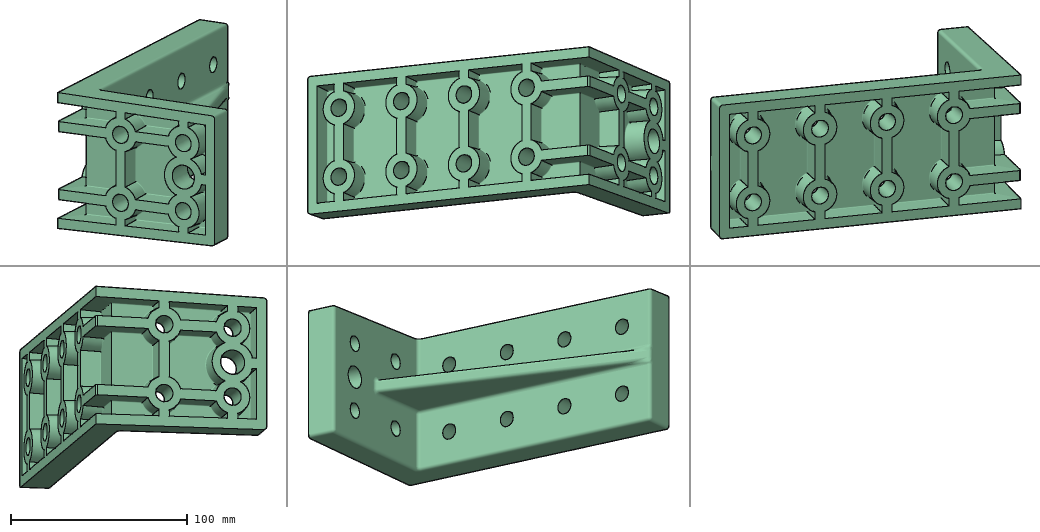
import math

import cadquery as cq

leg_a_length = 180.0
leg_b_length = 100.0
half_width = 40.0
thickness = 18.0
side_draft = 1.0
inner_draft = 0.3
edge_fillet = 2.0

wall = 6.0
pocket_depth = 12.0
pocket_draft = 2.5
floor_fillet = 0.5
rib_corner_chamfer = 1.0

pitch = 40.0
row_z = pitch / 2
rows = (-row_z, row_z)
leg_a_stations = [pitch * i for i in range(1, 5)]
leg_b_stations = [pitch * i for i in range(1, 3)]
pivot_x = leg_b_stations[-1]
boss_diameter = 20.0
hole_diameter = 10.0
pivot_boss_diameter = 24.0
pivot_hole_diameter = 14.0
hole_draft = 1.6

gusset_reach = 60.0
gusset_thickness = 8.0

side_slope = math.tan(math.radians(side_draft))
pocket_slope = math.tan(math.radians(pocket_draft))
inner_slope = math.tan(math.radians(inner_draft))
leg_b_root = thickness + inner_slope * (leg_b_length - thickness)
hole_length = leg_b_root + edge_fillet
tolerance = 0.01

face_a = cq.Plane(origin=(0, 0, 0), xDir=(0, 1, 0), normal=(1, 0, 0))
face_b = cq.Plane(origin=(0, 0, 0), xDir=(1, 0, 0), normal=(0, 1, 0))


def on_outer_face(edge):
    bounds = edge.BoundingBox()
    return min(bounds.xmax, bounds.ymax) < tolerance


def make_body():
    """L-shaped bracket with a central gusset and rounded inner and end edges."""
    outline = [
        (0, 0),
        (leg_b_length, 0),
        (leg_b_length, thickness),
        (thickness, leg_b_root),
        (thickness, leg_a_length),
        (0, leg_a_length),
    ]
    legs = cq.Workplane("XY").polyline(outline).close().extrude(half_width, both=True)

    tip_half = half_width - side_slope * leg_b_length
    side_outline = [
        (0, -half_width),
        (leg_b_length, -tip_half),
        (leg_b_length, tip_half),
        (0, half_width),
    ]
    envelope = cq.Workplane("XZ").polyline(side_outline).close().extrude(-leg_a_length)

    gusset_outline = [
        (0, leg_a_length),
        (thickness, leg_a_length),
        (gusset_reach, thickness),
        (gusset_reach, 0),
        (0, 0),
    ]
    gusset = cq.Workplane("XY").polyline(gusset_outline).close().extrude(gusset_thickness / 2, both=True)

    body = legs.intersect(envelope).union(gusset)
    rounded_edges = [edge for edge in body.edges().vals() if not on_outer_face(edge)]
    return body.newObject(rounded_edges).fillet(edge_fillet)


def hollow(face, length):
    """Space inside the rim of one leg, open at the outer corner of the bracket."""
    space = cq.Workplane(face)
    for depth in (0, pocket_depth):
        shrink = pocket_slope * depth
        end = length - wall - shrink
        start_half, end_half = [
            half_width - wall - shrink - side_slope * face.toWorldCoords((along, 0, depth)).x
            for along in (0, end)
        ]
        outline = [(0, -start_half), (end, -end_half), (end, end_half), (0, start_half)]
        space = space.workplane(offset=depth).polyline(outline).close()
    return space.loft(ruled=True)


def rib(face, x_range, z_range):
    """Rib covering a rectangle of the outer face, growing toward the floor."""
    (x_low, x_high), (z_low, z_high) = x_range, z_range
    return (
        cq.Workplane(face)
        .center((x_low + x_high) / 2, (z_low + z_high) / 2)
        .rect(x_high - x_low, z_high - z_low)
        .extrude(pocket_depth, taper=-pocket_draft)
    )


def around(middle):
    """Range of one rib thickness about a middle line."""
    return middle - wall / 2, middle + wall / 2


def boss(face, x, z, diameter):
    return cq.Workplane(face).center(x, z).circle(diameter / 2).extrude(pocket_depth, taper=-pocket_draft)


def hole(face, x, z, diameter):
    return cq.Workplane(face).center(x, z).circle(diameter / 2).extrude(hole_length, taper=hole_draft)


def leg_a_ribs():
    first_y = leg_a_stations[0]
    ribs = [rib(face_a, (-wall, first_y), around(z)) for z in rows]
    for y in leg_a_stations:
        ribs.append(rib(face_a, around(y), (-half_width, half_width)))
        ribs += [boss(face_a, y, z, boss_diameter) for z in rows]
    return ribs


def leg_b_ribs():
    first_x, last_x = leg_b_stations
    ribs = [rib(face_b, (-wall, last_x), around(z)) for z in rows]
    for x in leg_b_stations:
        ribs += [boss(face_b, x, z, boss_diameter) for z in rows]
    ribs.append(rib(face_b, around(first_x), (-half_width, half_width)))
    ribs.append(rib(face_b, around(last_x), (row_z, half_width)))
    ribs.append(rib(face_b, around(last_x), (-half_width, -row_z)))
    ribs.append(boss(face_b, pivot_x, 0, pivot_boss_diameter))
    ribs.append(rib(face_b, (pivot_x, leg_b_length), around(0)))
    return ribs


def pocket(face, space, ribs):
    """Hollow space of one leg around its ribs, with rounded floor edges."""
    for part in ribs:
        space = space.cut(part)
    floor_edges = []
    for edge in space.edges().vals():
        ends = [face.toLocalCoords(vertex.Center()) for vertex in edge.Vertices()]
        on_floor = min(end.z for end in ends) > pocket_depth - tolerance
        at_outer_corner = max(end.x for end in ends) < tolerance
        if on_floor and not at_outer_corner:
            floor_edges.append(edge)
    return space.newObject(floor_edges).fillet(floor_fillet)


def make_pockets():
    pocket_a = pocket(face_a, hollow(face_a, leg_a_length), leg_a_ribs())
    pocket_b = pocket(face_b, hollow(face_b, leg_b_length), leg_b_ribs())
    return pocket_a.union(pocket_b)


def make_holes():
    holes = hole(face_b, pivot_x, 0, pivot_hole_diameter)
    for z in rows:
        for y in leg_a_stations:
            holes = holes.union(hole(face_a, y, z, hole_diameter))
        for x in leg_b_stations:
            holes = holes.union(hole(face_b, x, z, hole_diameter))
    return holes


def make_rib_corner_cut():
    """Wedges that chamfer the two long ribs at the outer corner."""
    triangle = [(0, 0), (rib_corner_chamfer, 0), (0, rib_corner_chamfer)]
    wedge = cq.Workplane("XY").polyline(triangle).close().extrude(wall, both=True)
    return wedge.translate((0, 0, row_z)).union(wedge.translate((0, 0, -row_z)))


result = make_body().cut(make_pockets()).cut(make_holes()).cut(make_rib_corner_cut())